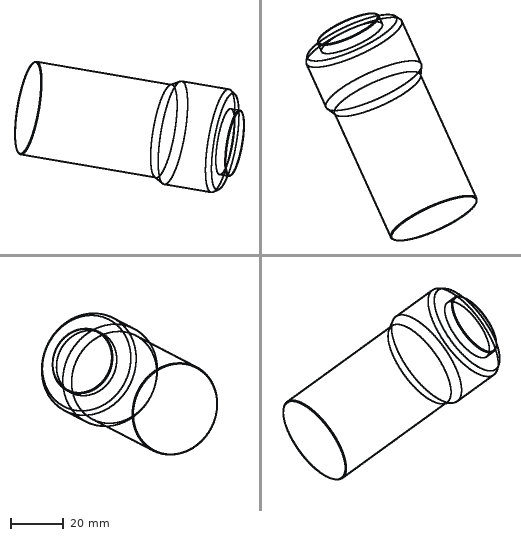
import cadquery as cq

total_length = 82.4

body_radius = 18.0
body_length = 54.1
body_chamfer = 0.3

collar_radius = 20.0
cone_length = 3.6
collar_end_bevel_length = 2.0
collar_end_bevel_depth = 1.3

stub_radius = 12.75
stub_length = 3.9
stub_chamfer = 0.3

collar_start = body_length + cone_length
collar_end = total_length - stub_length
bevel_start = collar_end - collar_end_bevel_length

profile = (
    cq.Workplane("XZ")
    .moveTo(0, 0)
    .lineTo(0, body_radius - body_chamfer)
    .lineTo(body_chamfer, body_radius)
    .lineTo(body_length, body_radius)
    .lineTo(collar_start, collar_radius)
    .lineTo(bevel_start, collar_radius)
    .lineTo(collar_end, collar_radius - collar_end_bevel_depth)
    .lineTo(collar_end, stub_radius)
    .lineTo(total_length - stub_chamfer, stub_radius)
    .lineTo(total_length, stub_radius - stub_chamfer)
    .lineTo(total_length, 0)
    .close()
)

result = profile.revolve(360, (0, 0, 0), (1, 0, 0))